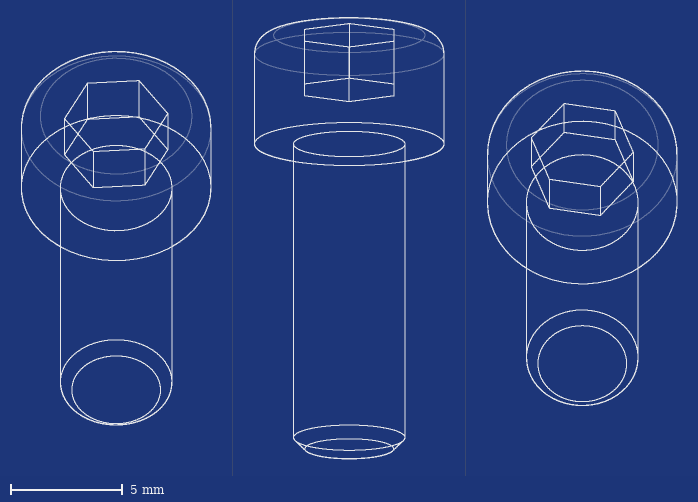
import cadquery as cq
import math

total_length = 19.0
head_diameter = 8.5
head_height = 5.0
head_edge_radius = 0.85
shank_diameter = 5.0
shank_length = total_length - head_height
tip_chamfer = 0.51
socket_across_flats = 4.0
socket_depth = 2.5


def make_head():
    """Cylindrical head with a rounded top rim."""
    head = cq.Workplane("XY").circle(head_diameter / 2).extrude(head_height)
    return head.faces(">Z").edges().fillet(head_edge_radius)


def make_shank():
    """Plain shank below the head with a chamfered tip."""
    shank = cq.Workplane("XY").circle(shank_diameter / 2).extrude(-shank_length)
    return shank.faces("<Z").edges().chamfer(tip_chamfer)


def make_socket():
    """Hexagonal drive recess with two corners on the X axis."""
    across_corners = socket_across_flats / math.cos(math.pi / 6)
    top = cq.Workplane("XY").workplane(offset=head_height)
    return top.polygon(6, across_corners).extrude(-socket_depth)


result = make_head().union(make_shank()).cut(make_socket())